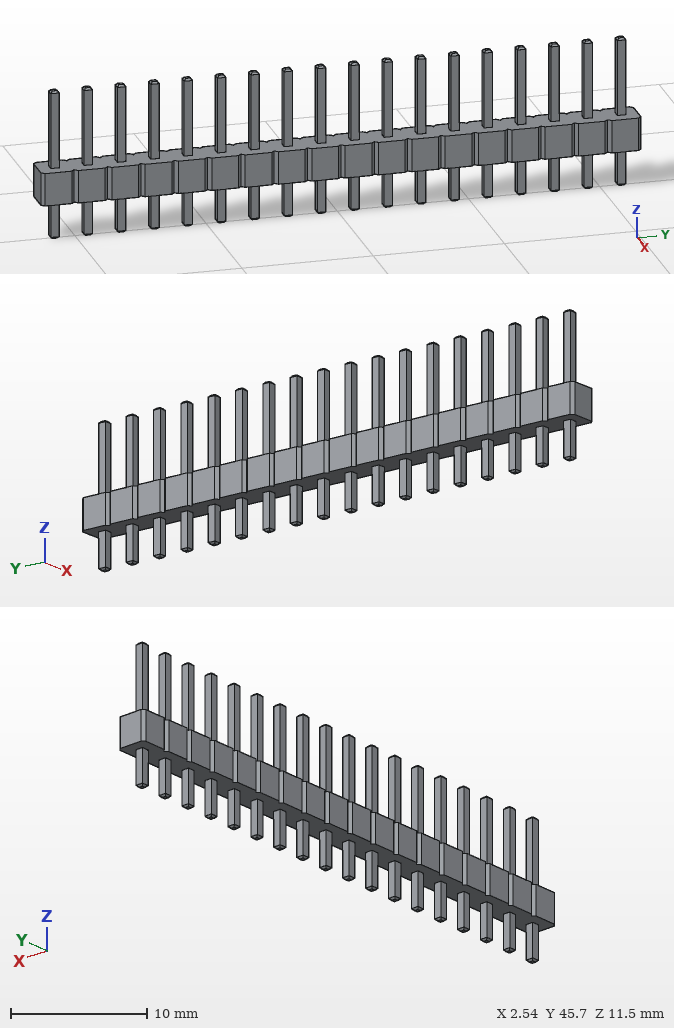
import cadquery as cq

PIN_COUNT = 18
PITCH = 2.54

BODY_WIDTH = PITCH
BODY_HEIGHT = 2.54
CORNER_CHAMFER = 0.25

PIN_SIDE = 0.64
PIN_ABOVE_BODY = 6.0
PIN_BELOW_BODY = 3.0
PIN_LENGTH = PIN_BELOW_BODY + BODY_HEIGHT + PIN_ABOVE_BODY
TIP_CHAMFER = 0.15

FROM_BASE = (True, True, False)


def pin_positions():
    """Pin centres in a row along Y, centred on the origin."""
    first_y = -(PIN_COUNT - 1) * PITCH / 2
    return [(0, first_y + index * PITCH) for index in range(PIN_COUNT)]


def body_cell():
    """One body segment; its chamfered corners form the notches between neighbours."""
    block = cq.Workplane("XY").box(BODY_WIDTH, PITCH, BODY_HEIGHT, centered=FROM_BASE)
    return block.edges("|Z").chamfer(CORNER_CHAMFER)


def pin():
    """One square pin through the body, chamfered at both tips."""
    bar = cq.Workplane("XY").box(PIN_SIDE, PIN_SIDE, PIN_LENGTH, centered=FROM_BASE)
    bar = bar.faces("<Z or >Z").edges().chamfer(TIP_CHAMFER)
    return bar.translate((0, 0, -PIN_BELOW_BODY))


def pin_header():
    """Join one segment and pin per position into a single solid."""
    segment = body_cell().union(pin()).val()
    row = cq.Workplane("XY").pushPoints(pin_positions())
    return row.eachpoint(lambda place: segment.moved(place), combine="a", clean=True)


result = pin_header()